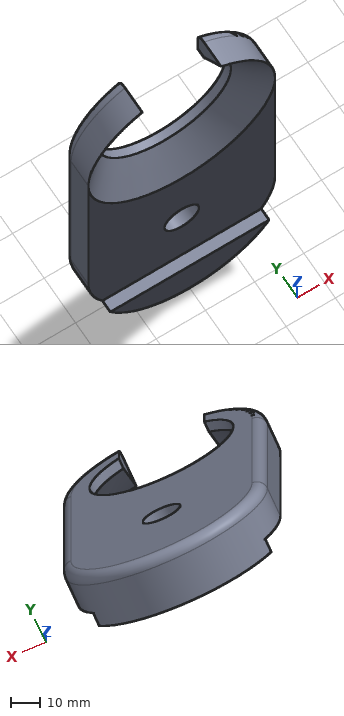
import cadquery as cq
import math

total_height = 152.5
body_width = 76.0
plate_thickness = 15.0
back_fillet = 4.0
lip_height = 18.0
lip_thickness = 5.0
ring_bore_radius = 27.0
mouth_width = 32.0
screw_hole_diameter = 14.0
screw_hole_offset = 10.0

end_radius = body_width / 2
lower_center_z = end_radius
tip_rise = math.sqrt(end_radius**2 - (mouth_width / 2) ** 2)
ring_center_z = total_height - tip_rise
screw_hole_z = lower_center_z + screw_hole_offset
seat_depth = end_radius - ring_bore_radius


def rounded_body():
    """Upright plate with round ends, its back outline rounded over."""
    center_distance = ring_center_z - lower_center_z
    body = (
        cq.Workplane("XZ", origin=(0, -lip_thickness, 0))
        .center(0, (ring_center_z + lower_center_z) / 2)
        .slot2D(center_distance + body_width, body_width, 90)
        .extrude(-(plate_thickness + lip_thickness))
    )
    return body.faces(">Y").edges().fillet(back_fillet)


def front_relief():
    """Material ahead of the front face, above the bottom lip."""
    relief_height = 2 * total_height
    return cq.Workplane("XY").box(
        2 * body_width, lip_thickness, relief_height, centered=(True, False, False)
    ).translate((0, -lip_thickness, lip_height))


def ring_cutter():
    """Conical seat narrowing into a straight bore, revolved about Y."""
    return (
        cq.Workplane("XY")
        .moveTo(0, 0)
        .lineTo(end_radius, 0)
        .lineTo(ring_bore_radius, seat_depth)
        .lineTo(ring_bore_radius, plate_thickness)
        .lineTo(0, plate_thickness)
        .close()
        .revolve(360, (0, 0, 0), (0, 1, 0))
        .translate((0, 0, ring_center_z))
    )


def mouth_cutter():
    """Slot opening the ring upward through the full thickness."""
    return cq.Workplane("XY").box(
        mouth_width, plate_thickness, body_width, centered=(True, False, False)
    ).translate((0, 0, ring_center_z))


def screw_hole_cutter():
    return (
        cq.Workplane("XZ")
        .center(0, screw_hole_z)
        .circle(screw_hole_diameter / 2)
        .extrude(-plate_thickness)
    )


result = (
    rounded_body()
    .cut(front_relief())
    .cut(mouth_cutter())
    .cut(ring_cutter())
    .cut(screw_hole_cutter())
)